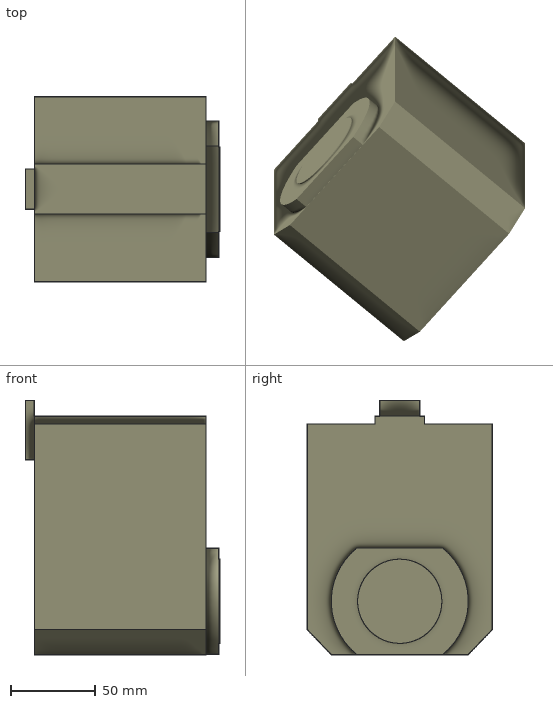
import cadquery as cq
import math

block_length = 102.0
block_width = 110.0
block_height = 137.1
bevel_width = 14.5
bevel_height = 15.1

rail_width = 29.6
rail_height = 4.5

overall_height = 151.0
tab_thickness = 5.3
tab_width = 24.0
tab_height = 35.3

boss_diameter = 81.2
boss_height = 63.0
boss_thickness = 7.5
boss_center_z = 31.9
face_diameter = 50.0
face_thickness = 0.8


def make_block():
    """Block with its two lower long edges bevelled."""
    half_width = block_width / 2
    half_base = half_width - bevel_width
    outline = [
        (-half_base, 0),
        (half_base, 0),
        (half_width, bevel_height),
        (half_width, block_height),
        (-half_width, block_height),
        (-half_width, bevel_height),
    ]
    return cq.Workplane("YZ").polyline(outline).close().extrude(block_length)


def make_rail():
    rail = cq.Workplane("XY").box(block_length, rail_width, rail_height, centered=(False, True, False))
    return rail.translate((0, 0, block_height))


def make_tab():
    tab = cq.Workplane("XY").box(tab_thickness, tab_width, tab_height, centered=(False, True, False))
    return tab.translate((-tab_thickness, 0, overall_height - tab_height))


def make_boss():
    """Disc cut flat at top and bottom, carrying a smaller raised disc."""
    half_height = boss_height / 2
    radius = boss_diameter / 2
    half_flat = math.sqrt(radius**2 - half_height**2)
    plane = cq.Workplane("YZ", origin=(block_length, 0, boss_center_z))
    boss = (
        plane.moveTo(-half_flat, half_height)
        .lineTo(half_flat, half_height)
        .threePointArc((radius, 0), (half_flat, -half_height))
        .lineTo(-half_flat, -half_height)
        .threePointArc((-radius, 0), (-half_flat, half_height))
        .close()
        .extrude(boss_thickness)
    )
    raised_face = plane.circle(face_diameter / 2).extrude(boss_thickness + face_thickness)
    return boss.union(raised_face)


result = make_block().union(make_rail()).union(make_tab()).union(make_boss())